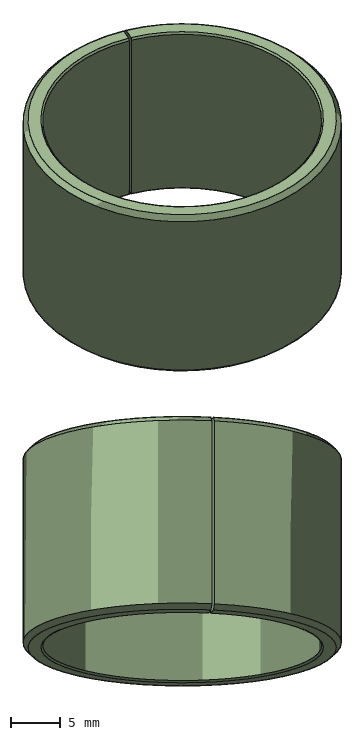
import cadquery as cq

outer_diameter = 32.0
bore_diameter = 28.0
length = 20.0
outer_chamfer = 0.5
bore_chamfer = 0.2
slit_width = 0.25

outer_radius = outer_diameter / 2
bore_radius = bore_diameter / 2
half_length = length / 2


def chamfered_ring():
    """Revolve the wall section, with bevels on all four corners."""
    section = [
        (bore_radius + bore_chamfer, -half_length),
        (outer_radius - outer_chamfer, -half_length),
        (outer_radius, -half_length + outer_chamfer),
        (outer_radius, half_length - outer_chamfer),
        (outer_radius - outer_chamfer, half_length),
        (bore_radius + bore_chamfer, half_length),
        (bore_radius, half_length - bore_chamfer),
        (bore_radius, -half_length + bore_chamfer),
    ]
    ring = cq.Workplane("XZ").polyline(section).close().revolve(360, (0, 0), (0, 1))
    return ring.rotate((0, 0, 0), (0, 0, 1), 180)


def slit_cutter():
    """Thin slab that splits the -X wall, from the XZ plane towards +Y."""
    slab = cq.Workplane("XY").box(outer_radius, slit_width, length, centered=(False, False, True))
    return slab.translate((-outer_radius, 0, 0))


result = chamfered_ring().cut(slit_cutter())